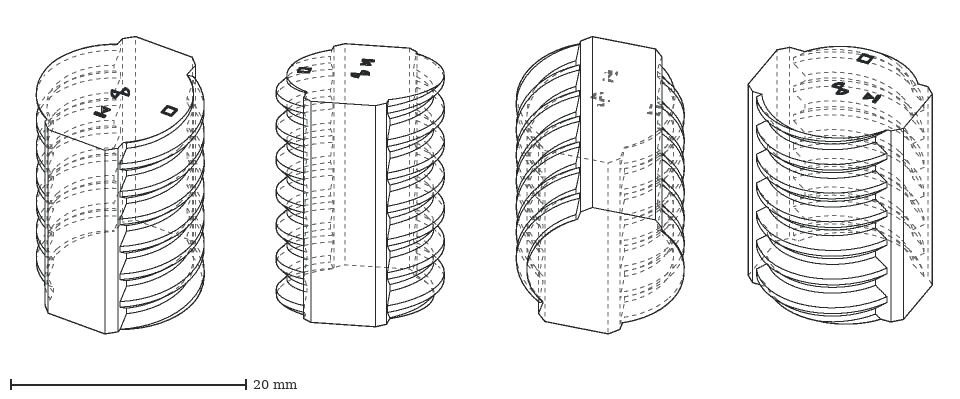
import cadquery as cq
import math

TOTAL_HEIGHT = 20.1
MARK_HEIGHT = 0.1
BODY_HEIGHT = TOTAL_HEIGHT - MARK_HEIGHT

CREST_RADIUS = 14.3 / 2
TURNS = 20 / 3
PITCH = BODY_HEIGHT / TURNS
CREST_WIDTH = PITCH / 5
THREAD_DEPTH = (PITCH - 2 * CREST_WIDTH) / 2
ROOT_RADIUS = CREST_RADIUS - THREAD_DEPTH
CREST_START = 0.25
RIDGE_OVERLAP = 0.1

KEY_WIDTH = 7.2
KEY_LENGTH = 14.7
KEY_CHAMFER = 0.8

MARK_WALL = 0.12
ORIGIN_RADIUS = 0.8
SQUARE_SIDE = 1.03
SQUARE_X = 4.85
TRIANGLE_WIDTH = 0.88
TRIANGLE_TOP_Y = -2.4
TRIANGLE_TIP_Y = -3.14
BAR_LENGTH = 1.03
BAR_WIDTH = 0.28
BAR_Y = -3.44


def threaded_core():
    """Root cylinder with a helical ridge, made overlong and trimmed flat at both ends."""
    base_radius = ROOT_RADIUS - RIDGE_OVERLAP
    half_crest = CREST_WIDTH / 2
    half_base = half_crest + CREST_RADIUS - base_radius
    ridge_start = CREST_START - PITCH
    ridge_length = BODY_HEIGHT + 2 * PITCH
    helix = cq.Wire.makeHelix(PITCH, ridge_length, base_radius).translate(cq.Vector(0, 0, ridge_start))
    ridge = (
        cq.Workplane("XZ")
        .polyline([
            (base_radius, ridge_start - half_base),
            (CREST_RADIUS, ridge_start - half_crest),
            (CREST_RADIUS, ridge_start + half_crest),
            (base_radius, ridge_start + half_base),
        ])
        .close()
        .sweep(cq.Workplane(obj=helix), isFrenet=True)
    )
    core_bottom = -3 * PITCH
    core = (
        cq.Workplane("XY", origin=(0, 0, core_bottom))
        .circle(ROOT_RADIUS)
        .extrude(BODY_HEIGHT - 2 * core_bottom)
    )
    envelope = cq.Workplane("XY").circle(2 * CREST_RADIUS).extrude(BODY_HEIGHT)
    return core.union(ridge).intersect(envelope)


def key_block():
    return (
        cq.Workplane("XY")
        .rect(KEY_WIDTH, KEY_LENGTH)
        .extrude(BODY_HEIGHT)
        .edges("|Z")
        .chamfer(KEY_CHAMFER)
    )


def top_plane():
    return cq.Workplane("XY", origin=(0, 0, BODY_HEIGHT))


def hollow(outline):
    """Raise a closed outline as a thin-walled frame on the top face."""
    outer = outline.extrude(MARK_HEIGHT)
    inner = outer.faces("<Z").wires().toPending().offset2D(-MARK_WALL).extrude(MARK_HEIGHT, combine=False)
    return outer.cut(inner)


def origin_quadrant(side):
    """Quarter disc beside the axis, in the +X+Y (side 1) or -X-Y (side -1) quadrant."""
    reach = side * ORIGIN_RADIUS
    diagonal = reach * math.sqrt(0.5)
    outline = (
        top_plane()
        .lineTo(reach, 0)
        .threePointArc((diagonal, diagonal), (0, reach))
        .close()
    )
    return hollow(outline)


def square_mark():
    return hollow(top_plane().center(SQUARE_X, 0).rect(SQUARE_SIDE, SQUARE_SIDE))


def triangle_mark():
    half_width = TRIANGLE_WIDTH / 2
    outline = top_plane().polyline([
        (-half_width, TRIANGLE_TOP_Y),
        (half_width, TRIANGLE_TOP_Y),
        (0, TRIANGLE_TIP_Y),
    ]).close()
    return hollow(outline)


def bar_mark():
    return hollow(top_plane().center(0, BAR_Y).rect(BAR_LENGTH, BAR_WIDTH))


body = threaded_core().union(key_block())
for mark in (origin_quadrant(1), origin_quadrant(-1), square_mark(), triangle_mark(), bar_mark()):
    body = body.union(mark)

result = cq.Workplane(obj=body.solids().val())